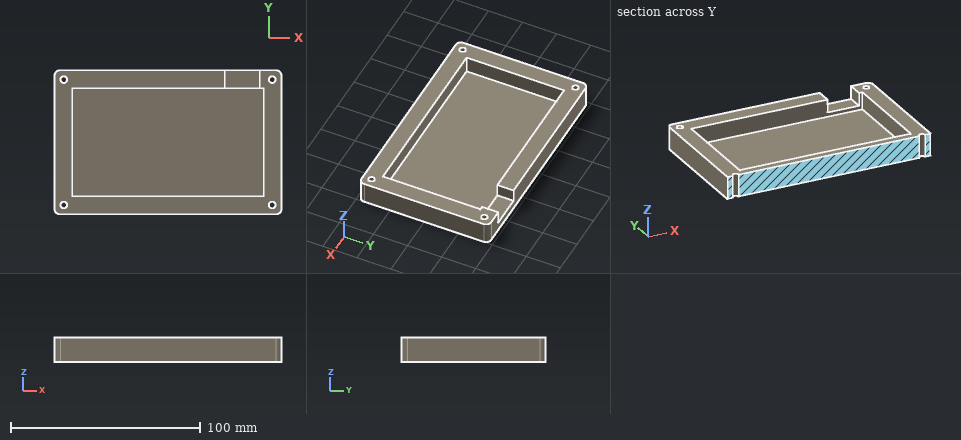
import cadquery as cq

length = 120.0
width = 76.2
height = 13.0
corner_radius = 3.0

wall_thickness = 9.5
floor_thickness = 3.0
pocket_length = length - 2 * wall_thickness
pocket_width = width - 2 * wall_thickness

notch_width = 18.5
notch_depth = 7.5
notch_to_pocket_end = 2.0

hole_diameter = 3.4
hole_inset = 5.0


def make_block():
    """Block with rounded vertical edges, standing on Z = 0."""
    block = cq.Workplane("XY").box(length, width, height, centered=(True, True, False))
    return block.edges("|Z").fillet(corner_radius)


def cut_pocket(body):
    """Hollow the block from the top down to the floor."""
    pocket = (
        cq.Workplane("XY", origin=(0, 0, floor_thickness))
        .rect(pocket_length, pocket_width)
        .extrude(height - floor_thickness)
    )
    return body.cut(pocket)


def cut_notch(body):
    """Open the +Y wall from the pocket to the outside, leaving a sill."""
    notch_center_x = pocket_length / 2 - notch_to_pocket_end - notch_width / 2
    wall_center_y = (width - wall_thickness) / 2
    sill_height = height - notch_depth
    notch = (
        cq.Workplane("XY", origin=(notch_center_x, wall_center_y, sill_height))
        .rect(notch_width, wall_thickness)
        .extrude(notch_depth)
    )
    return body.cut(notch)


def cut_corner_holes(body):
    """Through holes, one near each corner."""
    holes = (
        cq.Workplane("XY")
        .rect(length - 2 * hole_inset, width - 2 * hole_inset, forConstruction=True)
        .vertices()
        .circle(hole_diameter / 2)
        .extrude(height)
    )
    return body.cut(holes)


result = make_block()
result = cut_pocket(result)
result = cut_notch(result)
result = cut_corner_holes(result)